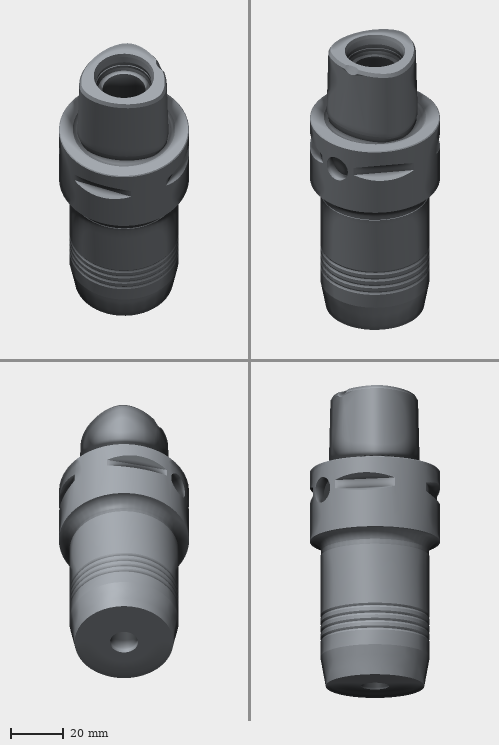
import cadquery as cq
import math

TOTAL_HEIGHT = 115.0
FLANGE_TOP = 85.0
FLANGE_BOTTOM = 57.2
FLANGE_RADIUS = 50.0 / 2
FLANGE_CHAMFER = 0.3

BODY_RADIUS = 21.0
BODY_TOP = 51.2
RELIEF_RADIUS = 20.7
RELIEF_TOP = 53.2
FILLET_MIDDLE_RADIUS = 22.1
FILLET_MIDDLE_Z = 55.9
NOSE_RADIUS = 19.0
NOSE_HEIGHT = 11.4

RING_COUNT = 4
RING_PITCH = 3.0
RING_LOWEST = 18.0
RING_WIDTH = 1.6
RING_DEPTH = 0.5

LOBE_COUNT = 3
LOBE_HEIGHT = 1.2
LOBE_POINTS = 48
NECK_RADIUS = 17.1
COLLAR_RADIUS = 17.5
COLLAR_BOTTOM = 86.9
COLLAR_TOP = 88.2
TAPER_RATIO = 1 / 20
TIP_CHAMFER_WIDTH = 0.8
TIP_CHAMFER_HEIGHT = 1.4
TAPER_TOP = TOTAL_HEIGHT - TIP_CHAMFER_HEIGHT
TAPER_TOP_RADIUS = COLLAR_RADIUS - (TAPER_TOP - COLLAR_TOP) * TAPER_RATIO / 2

RECESS_OUTER_RADIUS = 19.7
RECESS_INNER_RADIUS = 17.8
RECESS_DEPTH = 0.6
RECESS_RISE = 0.9

SLOT_COUNT = 4
SLOT_START_ANGLE = 45.0
SLOT_CENTRE = 75.1
SLOT_FLOOR_DISTANCE = 22.1
SLOT_FLOOR_WIDTH = 3.2
SLOT_MOUTH_WIDTH = 7.0

CHIP_HOLE_RADIUS = 10.0 / 2
CHIP_HOLE_CENTRE = 74.2
CHIP_HOLE_DEPTH = 4.6

NOTCH_RADIUS = 6.9
NOTCH_FLOOR = 13.8
NOTCH_ANGLE = 55.0

MOUTH_RADIUS = 11.6
MOUTH_DEPTH = 1.4
SOCKET_TOP_RADIUS = 11.2
SOCKET_RADIUS = 10.6
SOCKET_DEPTH = 3.7
UNDERCUT_RADIUS = 10.9
UNDERCUT_DEPTH = 5.5
SEAT_RADIUS = 10.0
SEAT_START = 6.7
SEAT_DEPTH = 7.8
BORE_RADIUS = 8.3
BORE_DEPTH = 32.2
STEP_RADIUS = 7.1
STEP_DEPTH = 33.6
THROUGH_RADIUS = 5.4


def revolve(sketch):
    """Turn a closed (radius, z) outline about the Z axis."""
    return sketch.close().revolve(360, (0, 0, 0), (0, 1, 0))


def make_body():
    outline = (
        cq.Workplane("XZ")
        .moveTo(0, 0)
        .lineTo(NOSE_RADIUS, 0)
        .lineTo(BODY_RADIUS, NOSE_HEIGHT)
        .lineTo(BODY_RADIUS, BODY_TOP)
        .lineTo(RELIEF_RADIUS, BODY_TOP)
        .lineTo(RELIEF_RADIUS, RELIEF_TOP)
        .threePointArc((FILLET_MIDDLE_RADIUS, FILLET_MIDDLE_Z), (FLANGE_RADIUS, FLANGE_BOTTOM))
        .lineTo(FLANGE_RADIUS, FLANGE_TOP - FLANGE_CHAMFER)
        .lineTo(FLANGE_RADIUS - FLANGE_CHAMFER, FLANGE_TOP)
        .lineTo(0, FLANGE_TOP)
    )
    return revolve(outline)


def cut_ring_grooves(body):
    """Cut V grooves, RING_WIDTH wide at the body surface."""
    for index in range(RING_COUNT):
        middle = RING_LOWEST + index * RING_PITCH
        groove = (
            cq.Workplane("XZ")
            .moveTo(BODY_RADIUS + RING_DEPTH, middle - RING_WIDTH)
            .lineTo(BODY_RADIUS - RING_DEPTH, middle)
            .lineTo(BODY_RADIUS + RING_DEPTH, middle + RING_WIDTH)
        )
        body = body.cut(revolve(groove))
    return body


def lobed_wire(mean_radius, z):
    """Constant-width outline with lobes at 30, 150 and 270 degrees."""
    points = []
    for index in range(LOBE_POINTS):
        angle = 2 * math.pi * index / LOBE_POINTS
        support = mean_radius + LOBE_HEIGHT * math.sin(LOBE_COUNT * angle)
        slope = LOBE_COUNT * LOBE_HEIGHT * math.cos(LOBE_COUNT * angle)
        x = support * math.cos(angle) - slope * math.sin(angle)
        y = support * math.sin(angle) + slope * math.cos(angle)
        points.append(cq.Vector(x, y, z))
    return cq.Wire.assembleEdges([cq.Edge.makeSpline(points, periodic=True)])


def lobed_section(lower_radius, lower_z, upper_radius, upper_z):
    """Straight-sided solid between two lobed outlines."""
    wires = [lobed_wire(lower_radius, lower_z), lobed_wire(upper_radius, upper_z)]
    return cq.Workplane(obj=cq.Solid.makeLoft(wires, True))


def make_shank():
    neck_bottom = FLANGE_TOP - RECESS_DEPTH
    tip_radius = TAPER_TOP_RADIUS - TIP_CHAMFER_WIDTH
    neck = lobed_section(NECK_RADIUS, neck_bottom, NECK_RADIUS, COLLAR_BOTTOM)
    collar = lobed_section(COLLAR_RADIUS, COLLAR_BOTTOM, COLLAR_RADIUS, COLLAR_TOP)
    taper = lobed_section(COLLAR_RADIUS, COLLAR_TOP, TAPER_TOP_RADIUS, TAPER_TOP)
    tip = lobed_section(TAPER_TOP_RADIUS, TAPER_TOP, tip_radius, TOTAL_HEIGHT)
    return neck.union(collar).union(taper).union(tip)


def make_recess_floor():
    """Disc cleared from the flange face before the shank is added."""
    floor = cq.Workplane("XY", origin=(0, 0, FLANGE_TOP - RECESS_DEPTH))
    return floor.circle(RECESS_INNER_RADIUS).extrude(RECESS_DEPTH)


def make_recess_rim():
    """Ring with a rounded floor; its inner wall also trims the lobes of the neck."""
    width = RECESS_OUTER_RADIUS - RECESS_INNER_RADIUS
    outline = (
        cq.Workplane("XZ")
        .moveTo(RECESS_INNER_RADIUS, FLANGE_TOP - RECESS_DEPTH)
        .threePointArc(
            (RECESS_INNER_RADIUS + width * math.sqrt(0.5),
             FLANGE_TOP - RECESS_DEPTH * math.sqrt(0.5)),
            (RECESS_OUTER_RADIUS, FLANGE_TOP),
        )
        .lineTo(RECESS_OUTER_RADIUS, FLANGE_TOP + RECESS_RISE)
        .lineTo(RECESS_INNER_RADIUS, FLANGE_TOP + RECESS_RISE)
    )
    return revolve(outline)


def make_slot(angle):
    depth = FLANGE_RADIUS - SLOT_FLOOR_DISTANCE
    half_floor = SLOT_FLOOR_WIDTH / 2
    half_mouth = SLOT_MOUTH_WIDTH / 2
    flank_slope = (half_mouth - half_floor) / depth
    outer = FLANGE_RADIUS + depth
    half_outer = half_mouth + flank_slope * depth
    return (
        cq.Workplane("XZ")
        .moveTo(SLOT_FLOOR_DISTANCE, SLOT_CENTRE - half_floor)
        .lineTo(outer, SLOT_CENTRE - half_outer)
        .lineTo(outer, SLOT_CENTRE + half_outer)
        .lineTo(SLOT_FLOOR_DISTANCE, SLOT_CENTRE + half_floor)
        .close()
        .extrude(FLANGE_RADIUS, both=True)
        .rotate((0, 0, 0), (0, 0, 1), angle)
    )


def make_chip_hole():
    return (
        cq.Workplane("XZ", origin=(0, FLANGE_RADIUS, CHIP_HOLE_CENTRE))
        .circle(CHIP_HOLE_RADIUS)
        .extrude(CHIP_HOLE_DEPTH)
    )


def make_notch():
    """Round cutter that slopes outward and down from the top face."""
    length = 3 * NOTCH_RADIUS
    slope = math.radians(NOTCH_ANGLE)
    axis_offset = NOTCH_RADIUS / math.sin(slope)
    direction = cq.Vector(0, math.cos(slope), -math.sin(slope))
    start = cq.Vector(0, NOTCH_FLOOR + axis_offset, TOTAL_HEIGHT) - direction * (length / 2)
    return cq.Workplane(obj=cq.Solid.makeCylinder(NOTCH_RADIUS, length, start, direction))


def make_bore():
    profile = [
        (0, 0),
        (MOUTH_RADIUS, 0),
        (SOCKET_TOP_RADIUS, MOUTH_DEPTH),
        (SOCKET_RADIUS, SOCKET_DEPTH),
        (UNDERCUT_RADIUS, SOCKET_DEPTH),
        (UNDERCUT_RADIUS, UNDERCUT_DEPTH),
        (SOCKET_RADIUS, UNDERCUT_DEPTH),
        (SOCKET_RADIUS, SEAT_START),
        (SEAT_RADIUS, SEAT_DEPTH),
        (BORE_RADIUS, SEAT_DEPTH),
        (BORE_RADIUS, BORE_DEPTH),
        (STEP_RADIUS, BORE_DEPTH),
        (THROUGH_RADIUS, STEP_DEPTH),
        (THROUGH_RADIUS, TOTAL_HEIGHT),
        (0, TOTAL_HEIGHT),
    ]
    outline = cq.Workplane("XZ").polyline([(r, TOTAL_HEIGHT - depth) for r, depth in profile])
    return revolve(outline)


result = cut_ring_grooves(make_body())
result = result.cut(make_recess_floor()).union(make_shank()).cut(make_recess_rim())
for slot_index in range(SLOT_COUNT):
    result = result.cut(make_slot(SLOT_START_ANGLE + slot_index * 360 / SLOT_COUNT))
result = result.cut(make_chip_hole()).cut(make_notch()).cut(make_bore())